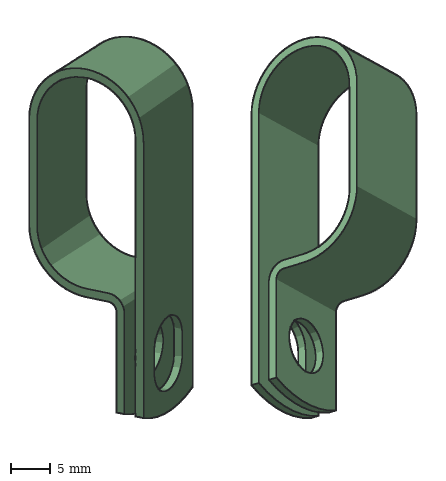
import cadquery as cq

height = 47.15
loop_width = 16.7
strap_width = 12.7

thickness = 1.2
straight_length = 14.35
outer_radius = loop_width / 2
inner_radius = outer_radius - thickness

leg_gap = 1.6
bend_inner_radius = 1.2
bend_outer_radius = bend_inner_radius + thickness
end_sag = 1.25
hole_diameter = 7.15
hole_height = 7.95
slot_length = 10.0

upper_center_z = height - outer_radius
lower_center_z = upper_center_z - straight_length
loop_floor_z = lower_center_z - inner_radius
long_leg_inner_x = inner_radius
short_leg_outer_x = long_leg_inner_x - leg_gap
bend_center_x = short_leg_outer_x - bend_outer_radius
bend_center_z = loop_floor_z - bend_outer_radius


def make_loop():
    """Closed-over loop with a long straight leg on the +X side."""
    outline = (
        cq.Workplane("XZ")
        .moveTo(-outer_radius, upper_center_z)
        .threePointArc((0, height), (outer_radius, upper_center_z))
        .lineTo(outer_radius, 0)
        .lineTo(long_leg_inner_x, 0)
        .lineTo(long_leg_inner_x, upper_center_z)
        .threePointArc((0, upper_center_z + inner_radius), (-inner_radius, upper_center_z))
        .lineTo(-inner_radius, lower_center_z)
        .radiusArc((0, loop_floor_z), -inner_radius)
        .lineTo(bend_center_x, loop_floor_z)
        .radiusArc((short_leg_outer_x, bend_center_z), bend_outer_radius)
        .lineTo(short_leg_outer_x, 0)
        .lineTo(short_leg_outer_x - thickness, 0)
        .lineTo(short_leg_outer_x - thickness, bend_center_z)
        .radiusArc((bend_center_x, bend_center_z + bend_inner_radius), -bend_inner_radius)
        .lineTo(0, bend_center_z + bend_inner_radius)
        .radiusArc((-outer_radius, lower_center_z), outer_radius)
        .close()
    )
    return outline.extrude(strap_width / 2, both=True)


def make_side_envelope():
    """Strap outline seen along X, with a shallow arc across the leg tips."""
    half_width = strap_width / 2
    return (
        cq.Workplane("YZ")
        .moveTo(-half_width, end_sag)
        .threePointArc((0, 0), (half_width, end_sag))
        .lineTo(half_width, height)
        .lineTo(-half_width, height)
        .close()
        .extrude(outer_radius, both=True)
    )


def make_round_hole():
    """Cylinder along X through the short leg."""
    return (
        cq.Workplane("YZ", origin=(short_leg_outer_x - thickness, 0, hole_height))
        .circle(hole_diameter / 2)
        .extrude(thickness)
    )


def make_slot():
    """Upright rounded slot along X through the long leg, centred on the round hole."""
    return (
        cq.Workplane("YZ", origin=(long_leg_inner_x, 0, hole_height))
        .slot2D(slot_length, hole_diameter, 90)
        .extrude(thickness)
    )


clamp = make_loop().intersect(make_side_envelope())
result = clamp.cut(make_round_hole()).cut(make_slot())